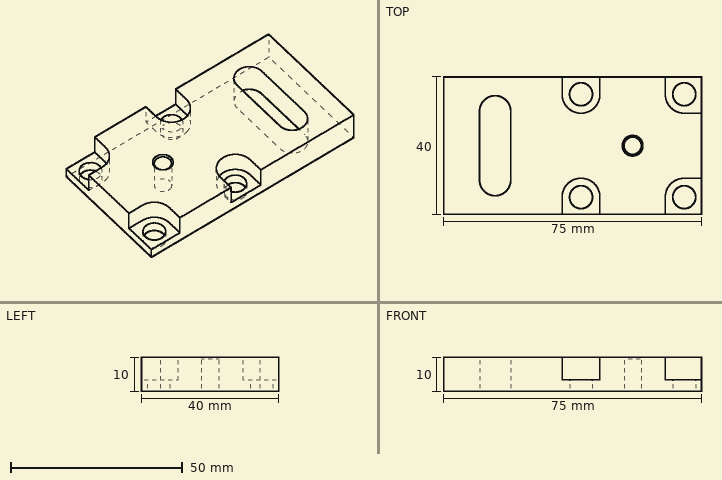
import cadquery as cq

length = 75.0
width = 40.0
thickness = 10.0

slot_x = 15.0
slot_width = 9.0
slot_length = 29.0

screw_hole_diameter = 6.6
screw_edge_distance = 5.0
screw_spacing = 30.0
last_screw_x = length - screw_edge_distance
screw_xs = (last_screw_x - screw_spacing, last_screw_x)
pocket_width = 11.0
pocket_floor_z = 3.4
pocket_depth = thickness - pocket_floor_z

center_hole_x = (screw_xs[0] + screw_xs[1]) / 2
center_hole_diameter = 5.0
countersink_diameter = 6.0
countersink_angle = 45
countersink_depth = (countersink_diameter - center_hole_diameter) / 2


def cutting_box(x_start, x_end, y_start, y_end):
    """Box spanning the given sides, from the pocket floor to the top face."""
    return (
        cq.Workplane("XY")
        .box(x_end - x_start, y_end - y_start, pocket_depth, centered=False)
        .translate((x_start, y_start, pocket_floor_z))
    )


def screw_pocket(screw_x):
    """Round-ended pocket open to the front edge, and to the end at the last screw."""
    radius = pocket_width / 2
    round_end = (
        cq.Workplane("XY", origin=(screw_x, screw_edge_distance, pocket_floor_z))
        .circle(radius)
        .extrude(pocket_depth)
    )
    pocket = round_end.union(cutting_box(screw_x - radius, screw_x + radius, 0, screw_edge_distance))
    if screw_x + radius > length:
        pocket = pocket.union(cutting_box(screw_x, length, 0, screw_edge_distance + radius))
    return pocket


def screw_cutter(screw_x):
    """Pocket together with its through hole, at the front edge."""
    hole = (
        cq.Workplane("XY", origin=(screw_x, screw_edge_distance, 0))
        .circle(screw_hole_diameter / 2)
        .extrude(thickness)
    )
    return screw_pocket(screw_x).union(hole)


plate = cq.Workplane("XY").box(length, width, thickness, centered=False)

slot = (
    cq.Workplane("XY", origin=(slot_x, width / 2, 0))
    .slot2D(slot_length, slot_width, 90)
    .extrude(thickness)
)
plate = plate.cut(slot)

for screw_x in screw_xs:
    front_cutter = screw_cutter(screw_x)
    back_cutter = front_cutter.mirror("XZ", (0, width / 2, 0))
    plate = plate.cut(front_cutter).cut(back_cutter)

center_hole = (
    cq.Workplane("XY", origin=(center_hole_x, width / 2, 0))
    .circle(center_hole_diameter / 2)
    .extrude(thickness)
)
countersink = (
    cq.Workplane("XY", origin=(center_hole_x, width / 2, thickness))
    .circle(countersink_diameter / 2)
    .extrude(-countersink_depth, taper=countersink_angle)
)
result = plate.cut(center_hole).cut(countersink)